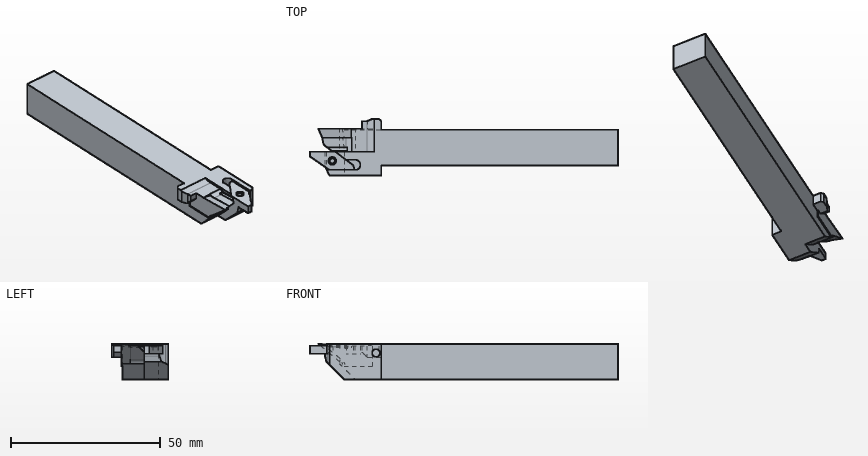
import cadquery as cq
import math

total_length = 103.0
overall_width = 19.0
shank_width = 12.0
height = 12.0

head_back_x = 23.9
head_front_y = -3.4
parting_y = 4.6
clearance_end_x = 11.5

nose_x = 5.0
nose_break_z = 8.0
nose_relief_z = 6.05
nose_arc_start = (nose_x, -0.4)
nose_arc_middle = (5.55, -1.25)
nose_arc_end = (5.95, -2.3)
nose_corner_x = 6.6

insert_length = 15.0
insert_land = 1.6
insert_width = 6.1
insert_flat = 8.5
insert_heel = 0.5
insert_floor_z = 8.6
insert_top_z = 11.36
screw_head_radius = 1.3
screw_head_depth = 0.15
screw_hole_radius = 0.85
screw_hole_depth = 0.3
slot_width = 3.4
slot_end_x = 16.9

flat_z = 11.4
flat_start_x = 14.0
flat_end_x = 19.0
blend_end_x = 21.5

blade_side_y = 12.3
blade_step_y = 9.3
blade_side_bottom_z = 4.5
relief_step_x = 9.9
relief_step_z = 5.35
blade_relief_angle = 50.0
relief_foot_angle = 22.0
relief_fillet_z = 6.6
blade_tip_x = 2.8
facet_back_z = 11.33
blade_step_back_z = 10.9
blade_nose_start = (4.35, 7.8)
blade_nose_middle = (4.8, 6.8)
blade_nose_end = (5.6, 6.2)
blade_parting_x = 7.6
blade_back_x = 13.8
trough_front_z = 11.5
trough_front_x = 4.1
trough_low_x = 12.0
trough_low_z = 10.9

groove_y = 5.5
groove_radius = 0.72
groove_end_x = 12.6
groove_axis_lift = 0.4

collar_front_x = 17.4
collar_step_y = 14.8
collar_outer_y = head_front_y + overall_width
collar_slope_end_x = 20.9
collar_bottom_z = 7.5
collar_chamfer_z = 9.25
collar_corner = 0.8

side_hole_x = 22.1
side_hole_z = 8.9
side_hole_diameter = 2.6
side_hole_depth = 0.3


def along_y(sketch_start, y_low, y_high):
    """Extrude a closed XZ outline from y_low to y_high."""
    return sketch_start.close().extrude(y_low - y_high).translate((0, y_low, 0))


def concave_arc(outline, start, end):
    """Arc from start to end, level at the lower of the two (the start)."""
    run = end[0] - start[0]
    rise = end[1] - start[1]
    radius = (run**2 + rise**2) / (2 * rise)
    half_angle = math.asin(run / radius) / 2
    middle = (
        start[0] + radius * math.sin(half_angle),
        start[1] + radius * (1 - math.cos(half_angle)),
    )
    return outline.threePointArc(middle, end)


def make_shank():
    return cq.Workplane("XY").box(
        total_length - head_back_x, shank_width, height, centered=False
    ).translate((head_back_x, 0, 0))


def make_insert_side():
    side = along_y(
        cq.Workplane("XZ")
        .moveTo(nose_x, height)
        .lineTo(nose_x, nose_break_z)
        .lineTo(clearance_end_x - nose_relief_z, nose_relief_z)
        .lineTo(clearance_end_x, 0)
        .lineTo(head_back_x, 0)
        .lineTo(head_back_x, height),
        head_front_y,
        parting_y,
    )
    plan = (
        cq.Workplane("XY")
        .moveTo(nose_x, parting_y)
        .lineTo(*nose_arc_start)
        .threePointArc(nose_arc_middle, nose_arc_end)
        .lineTo(nose_corner_x, head_front_y)
        .lineTo(head_back_x, head_front_y)
        .lineTo(head_back_x, parting_y)
        .close()
        .extrude(height)
    )
    return side.intersect(plan)


def insert_prism(bottom_z, top_z):
    bottom_y = parting_y - insert_width
    return (
        cq.Workplane("XY", origin=(0, 0, bottom_z))
        .moveTo(0, parting_y)
        .lineTo(0, parting_y - insert_land)
        .lineTo(insert_length - insert_flat, bottom_y)
        .lineTo(insert_length, bottom_y)
        .lineTo(insert_length - insert_heel, bottom_y + insert_land)
        .lineTo(insert_flat, parting_y)
        .close()
        .extrude(top_z - bottom_z)
    )


def make_insert():
    screw = cq.Workplane(
        "XY", origin=(insert_length / 2, parting_y - insert_width / 2, insert_top_z)
    )
    head = screw.circle(screw_head_radius).extrude(-screw_head_depth)
    hole = screw.circle(screw_hole_radius).extrude(-screw_hole_depth)
    return insert_prism(insert_floor_z, insert_top_z).cut(head).cut(hole)


def make_pocket():
    slot_radius = slot_width / 2
    slot_y = parting_y - insert_width + slot_radius
    slot_start_x = insert_length / 2
    slot_center_x = slot_end_x - slot_radius
    slot = (
        cq.Workplane("XY", origin=(0, 0, insert_floor_z))
        .moveTo(slot_start_x, slot_y - slot_radius)
        .lineTo(slot_center_x, slot_y - slot_radius)
        .threePointArc((slot_end_x, slot_y), (slot_center_x, slot_y + slot_radius))
        .lineTo(insert_flat + slot_radius, slot_y + slot_radius)
        .close()
        .extrude(height - insert_floor_z)
    )
    front_opening = cq.Workplane("XY").box(
        insert_length - insert_flat, insert_width, height - insert_floor_z, centered=False
    ).translate((0, parting_y - insert_width, insert_floor_z))
    return insert_prism(insert_floor_z, height).union(slot).union(front_opening)


def make_blade_base():
    """Block under and behind the blade, between the parting plane and the +Y side."""
    outline = (
        cq.Workplane("XZ")
        .moveTo(relief_step_x, relief_step_z)
        .lineTo(relief_step_x + relief_step_z, 0)
        .lineTo(head_back_x, 0)
        .lineTo(head_back_x, height)
        .lineTo(blend_end_x, height)
        .lineTo(blend_end_x, flat_z)
        .lineTo(flat_start_x, flat_z)
        .lineTo(flat_start_x, relief_step_z)
    )
    base = along_y(outline, parting_y, blade_side_y)
    lower_trim = cq.Workplane("XY").box(
        head_back_x, blade_side_y - shank_width, blade_side_bottom_z, centered=False
    ).translate((0, shank_width, 0))
    rear_trim = cq.Workplane("XY").box(
        head_back_x - collar_slope_end_x, blade_side_y - shank_width, height, centered=False
    ).translate((collar_slope_end_x, shank_width, 0))
    return base.cut(lower_trim).cut(rear_trim)


def make_blend():
    """Concave rise from the stepped flat to the head top, running out over the collar."""
    start = (flat_end_x, flat_z)
    outline = cq.Workplane("XZ").moveTo(*start)
    outline = concave_arc(outline, start, (blend_end_x, height)).lineTo(blend_end_x, flat_z)
    return along_y(outline, parting_y, blade_side_y)


def relief_point(front_x, front_z, z):
    """Point of the inclined blade relief at height z, below the edge (front_x, front_z)."""
    return (front_x + (front_z - z) * math.tan(math.radians(blade_relief_angle)), z)


def make_outer_blade():
    """Cutting half of the blade, its top falling away from the tip."""

    def section(y, front_x, front_z, back_z):
        return cq.Workplane("XZ", origin=(0, y, 0)).polyline([
            (front_x, front_z),
            (blade_back_x, back_z),
            (blade_back_x, relief_step_z),
            relief_point(front_x, front_z, relief_step_z),
        ]).close().val()

    facet = cq.Workplane(cq.Solid.makeLoft(
        [
            section(blade_side_y, blade_tip_x, height, facet_back_z),
            section(blade_step_y, trough_front_x, trough_front_z, blade_step_back_z),
        ],
        True,
    ))
    back = cq.Workplane("XY").box(
        flat_start_x - blade_back_x, blade_side_y - blade_step_y, flat_z - relief_step_z, centered=False
    ).translate((blade_back_x, blade_step_y, relief_step_z))
    return facet.union(back)


def trough_section(y, front_x):
    """Outline with the relief steepening in a concave curve at its foot."""
    start_angle = math.radians(blade_relief_angle)
    foot_angle = math.radians(relief_foot_angle)
    middle_angle = (start_angle + foot_angle) / 2
    drop = relief_fillet_z - relief_step_z
    radius = drop / (math.sin(start_angle) - math.sin(foot_angle))
    fillet_x = relief_point(front_x, trough_front_z, relief_fillet_z)[0]
    foot_x = fillet_x + radius * (math.cos(foot_angle) - math.cos(start_angle))
    middle = (
        fillet_x + radius * (math.cos(middle_angle) - math.cos(start_angle)),
        relief_fillet_z - radius * (math.sin(start_angle) - math.sin(middle_angle)),
    )
    return (
        cq.Workplane("XZ", origin=(0, y, 0))
        .moveTo(front_x, trough_front_z)
        .lineTo(flat_start_x, flat_z)
        .lineTo(flat_start_x, relief_step_z)
        .lineTo(foot_x, relief_step_z)
        .threePointArc(middle, (fillet_x, relief_fillet_z))
        .close()
        .val()
    )


def make_trough_blade():
    """Inner half of the blade with an upright rounded corner and a hollow top."""
    nose_slope = (blade_nose_start[0] - trough_front_x) / (blade_step_y - blade_nose_start[1])
    parting_front_x = trough_front_x + nose_slope * (blade_step_y - parting_y)
    relieved = cq.Workplane(cq.Solid.makeLoft(
        [
            trough_section(blade_step_y, trough_front_x),
            trough_section(parting_y, parting_front_x),
        ],
        True,
    ))
    plan = (
        cq.Workplane("XY")
        .moveTo(trough_front_x, blade_step_y)
        .lineTo(*blade_nose_start)
        .threePointArc(blade_nose_middle, blade_nose_end)
        .lineTo(blade_parting_x, parting_y)
        .lineTo(flat_start_x, parting_y)
        .lineTo(flat_start_x, blade_step_y)
        .close()
        .extrude(height)
    )
    return relieved.intersect(plan).cut(make_trough()).cut(make_groove())


def make_trough():
    low = (trough_low_x, trough_low_z)
    outline = cq.Workplane("XZ").moveTo(trough_front_x, trough_front_z).lineTo(*low)
    outline = concave_arc(outline, low, (flat_start_x, flat_z))
    outline = outline.lineTo(flat_start_x, height).lineTo(trough_front_x, height)
    return along_y(outline, parting_y, blade_step_y)


def make_groove():
    front = cq.Vector(trough_front_x, groove_y, trough_front_z + groove_axis_lift)
    low = cq.Vector(trough_low_x, groove_y, trough_low_z + groove_axis_lift)
    reach = (groove_end_x - trough_front_x) / (trough_low_x - trough_front_x)
    axis = (low - front) * reach
    return cq.Workplane(cq.Solid.makeCylinder(groove_radius, axis.Length, front, axis))


def make_collar():
    plan = (
        cq.Workplane("XY")
        .moveTo(collar_front_x, shank_width)
        .lineTo(collar_front_x, collar_step_y)
        .lineTo(flat_end_x, collar_step_y)
        .lineTo(collar_slope_end_x, collar_outer_y)
        .lineTo(head_back_x - collar_corner, collar_outer_y)
        .lineTo(head_back_x, collar_outer_y - collar_corner)
        .lineTo(head_back_x, shank_width)
        .close()
        .extrude(height)
    )
    start = (flat_end_x, flat_z)
    outline = (
        cq.Workplane("XZ")
        .moveTo(collar_front_x + collar_chamfer_z - collar_bottom_z, collar_bottom_z)
        .lineTo(collar_front_x, collar_chamfer_z)
        .lineTo(collar_front_x, flat_z)
        .lineTo(*start)
    )
    outline = concave_arc(outline, start, (blend_end_x, height))
    outline = outline.lineTo(head_back_x, height).lineTo(head_back_x, collar_bottom_z)
    return plan.intersect(along_y(outline, shank_width, collar_outer_y))


def make_side_hole():
    return (
        cq.Workplane("XZ", origin=(side_hole_x, head_front_y, side_hole_z))
        .circle(side_hole_diameter / 2)
        .extrude(-side_hole_depth)
    )


insert_side = make_insert_side().cut(make_pocket()).cut(make_side_hole())
blade_side = make_blade_base().union(make_blend()).union(make_collar())
blade_side = blade_side.union(make_outer_blade()).union(make_trough_blade())
result = make_shank().union(insert_side).union(blade_side).union(make_insert())